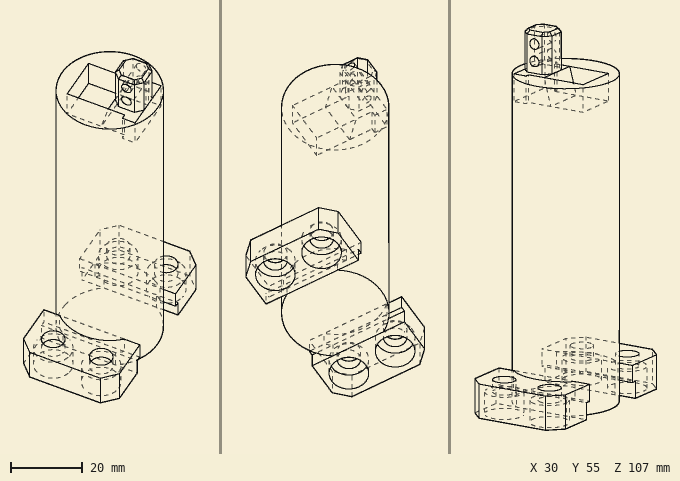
import cadquery as cq
import math

total_height = 107.0
body_diameter = 30.0
overall_length = 55.0

shank_height = 12.0
shank_width = 9.0
shank_corner_chamfer = 2.0
shank_top_chamfer = 1.0
shank_hole_diameter = 3.0
shank_hole_spacing = 5.0
upper_hole_below_top = 3.5

pocket_depth = 8.0
pocket_width = 13.2
pocket_min_x = -10.0
guide_width = 16.0
guide_min_x = 8.0
guide_max_x = 12.0

slope_angle = 15.0
slider_min_x = 2.9

clamp_height = 10.0
lip_bottom = clamp_height / 2
lip_reach_y = 11.0
foot_half_width = 12.5
clamp_corner_chamfer = 4.0
clamp_hole_diameter = 6.5
clamp_hole_spacing = 15.0
clamp_hole_y = 20.0
counterbore_diameter = 11.0
counterbore_depth = 6.4
clamp_turns = (0, 180)

column_height = total_height - shank_height
slope_run = pocket_depth * math.tan(math.radians(slope_angle))
pocket_floor = column_height - pocket_depth
clamp_outer_y = overall_length / 2
clamp_width = body_diameter
shank_min_x = guide_max_x - shank_width
shank_center_x = guide_max_x - shank_width / 2


def x_block(min_x, max_x, width, bottom, height):
    """A box between two X positions, centred on Y = 0."""
    return (
        cq.Workplane("XY", origin=((min_x + max_x) / 2, 0, bottom))
        .rect(max_x - min_x, width)
        .extrude(height)
    )


def make_pocket():
    """The T-shaped space that holds the slider."""
    channel = x_block(pocket_min_x, guide_max_x, pocket_width, pocket_floor, pocket_depth)
    guide = x_block(guide_min_x, guide_max_x, guide_width, pocket_floor, pocket_depth)
    return channel.union(guide)


def make_clamp_bar():
    """The stepped bar of the clamp on the +Y side, before its corners and holes are cut."""
    profile = [
        (clamp_outer_y, 0),
        (clamp_outer_y, clamp_height),
        (lip_reach_y, clamp_height),
        (lip_reach_y, lip_bottom),
        (foot_half_width, lip_bottom),
        (foot_half_width, 0),
    ]
    return (
        cq.Workplane("YZ")
        .polyline(profile)
        .close()
        .extrude(clamp_width / 2, both=True)
    )


def make_clamp(turn):
    """One clamp with bolt holes counterbored from below, turned to its side of the column."""
    bar = make_clamp_bar()
    bar = bar.faces(">Y").edges("|Z").chamfer(clamp_corner_chamfer)
    holes = (
        cq.Workplane("XY", origin=(0, clamp_hole_y, 0))
        .rarray(clamp_hole_spacing, 1.1, 2, 1)
        .circle(clamp_hole_diameter / 2)
        .extrude(clamp_height)
    )
    counterbores = (
        cq.Workplane("XY", origin=(0, clamp_hole_y, 0))
        .rarray(clamp_hole_spacing, 1.1, 2, 1)
        .circle(counterbore_diameter / 2)
        .extrude(counterbore_depth)
    )
    return bar.cut(holes).cut(counterbores).rotate((0, 0, 0), (0, 0, 1), turn)


def make_column():
    """The round column with its slider pocket and the two stepped slots that the clamps grip."""
    column = cq.Workplane("XY").circle(body_diameter / 2).extrude(column_height)
    column = column.cut(make_pocket())
    for turn in clamp_turns:
        column = column.cut(make_clamp_bar().rotate((0, 0, 0), (0, 0, 1), turn))
    return column


def make_slider():
    """The part of the pocket behind the sloping face, filled flush with the column top."""
    side_profile = [
        (guide_max_x, pocket_floor),
        (guide_max_x, column_height),
        (slider_min_x, column_height),
        (slider_min_x - slope_run, pocket_floor),
    ]
    wedge = (
        cq.Workplane("XZ")
        .polyline(side_profile)
        .close()
        .extrude(guide_width / 2, both=True)
    )
    return wedge.intersect(make_pocket())


def make_shank():
    """The square shank with chamfered corners and two cross holes along Y."""
    shank = x_block(shank_min_x, guide_max_x, shank_width, column_height, shank_height)
    shank = shank.edges("|Z").chamfer(shank_corner_chamfer)
    shank = shank.faces(">Z").chamfer(shank_top_chamfer)
    upper_hole_z = total_height - upper_hole_below_top
    for hole_z in (upper_hole_z, upper_hole_z - shank_hole_spacing):
        hole = (
            cq.Workplane("XZ", origin=(shank_center_x, 0, hole_z))
            .circle(shank_hole_diameter / 2)
            .extrude(shank_width, both=True)
        )
        shank = shank.cut(hole)
    return shank


column = make_column()
slider = make_slider()
shank = make_shank()
clamps = [make_clamp(turn) for turn in clamp_turns]

result = cq.Compound.makeCompound(
    [column.val(), slider.val(), shank.val(), *[clamp.val() for clamp in clamps]]
)